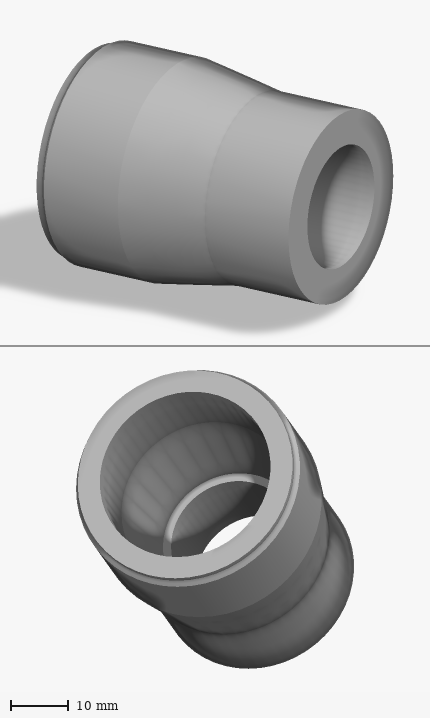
import cadquery as cq

length = 50.0
lip_diameter = 38.35
body_diameter = 40.0
spigot_diameter = 34.5
socket_diameter = 30.5
throat_diameter = 25.0
bore_diameter = 22.1

bevel = (body_diameter - lip_diameter) / 2
bevel_end = 2.0
body_end = 17.0
spigot_start = 33.0
socket_depth = 15.0
throat_depth = spigot_start


def cylinder(diameter, start, end):
    """Solid cylinder along X between two stations."""
    return cq.Workplane("YZ", origin=(start, 0, 0)).circle(diameter / 2).extrude(end - start)


def taper(start_diameter, end_diameter, start, end):
    """Solid loft along X between two circles."""
    return (
        cq.Workplane("YZ", origin=(start, 0, 0))
        .circle(start_diameter / 2)
        .workplane(offset=end - start)
        .circle(end_diameter / 2)
        .loft()
    )


outside = (
    cylinder(lip_diameter, 0, bevel_end - bevel)
    .union(taper(lip_diameter, body_diameter, bevel_end - bevel, bevel_end))
    .union(cylinder(body_diameter, bevel_end, body_end))
    .union(taper(body_diameter, spigot_diameter, body_end, spigot_start))
    .union(cylinder(spigot_diameter, spigot_start, length))
)

socket = cylinder(socket_diameter, 0, socket_depth)
throat = taper(socket_diameter, throat_diameter, socket_depth, throat_depth)
bore = cylinder(bore_diameter, 0, length)

result = outside.cut(socket).cut(throat).cut(bore)